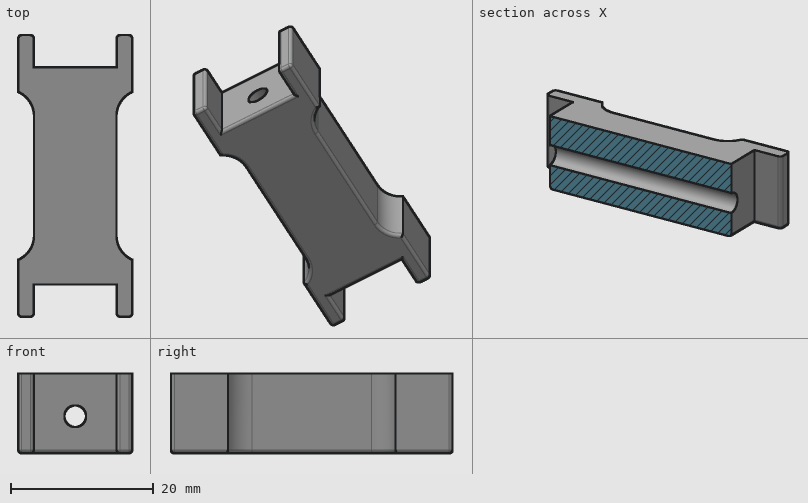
import cadquery as cq
import math

width = 16.0
length = 39.5
height = 11.2

arm_thickness = 2.2
slot_depth = 4.5
arm_side_length = 8.0

waist_radius = 3.65

hole_diameter = 3.0
hole_height = 5.2

edge_radius = 0.5

half_width = width / 2
half_length = length / 2
half_waist = half_width - arm_thickness
slot_floor = half_length - slot_depth
shoulder = half_length - arm_side_length
arc_run = math.sqrt(waist_radius**2 - (waist_radius - arm_thickness) ** 2)
waist_end = shoulder - arc_run


def arc_midpoint():
    """Middle of the waist arc in the +X, +Y quarter."""
    half_sweep = math.asin(arc_run / waist_radius) / 2
    x = half_waist + waist_radius * (1 - math.cos(half_sweep))
    y = waist_end + waist_radius * math.sin(half_sweep)
    return x, y


def make_body():
    """Extrude the H-shaped outline, drawn as one quarter and mirrored."""
    quarter = (
        cq.Workplane("XY")
        .lineTo(half_waist, 0)
        .lineTo(half_waist, waist_end)
        .threePointArc(arc_midpoint(), (half_width, shoulder))
        .lineTo(half_width, half_length)
        .lineTo(half_waist, half_length)
        .lineTo(half_waist, slot_floor)
        .lineTo(0, slot_floor)
        .close()
        .extrude(height)
    )
    half = quarter.union(quarter.mirror("YZ"))
    return half.union(half.mirror("XZ")).clean()


def round_edges(body):
    """Round the upright edges at the arm tips, then the bottom outline."""
    rounded = body.faces(">Y or <Y").edges("|Z").fillet(edge_radius)
    return rounded.faces("<Z").edges().fillet(edge_radius)


def make_hole():
    """Cylinder along Y that passes through both slot floors."""
    return (
        cq.Workplane("XZ")
        .center(0, hole_height)
        .circle(hole_diameter / 2)
        .extrude(half_length, both=True)
    )


result = round_edges(make_body()).cut(make_hole())